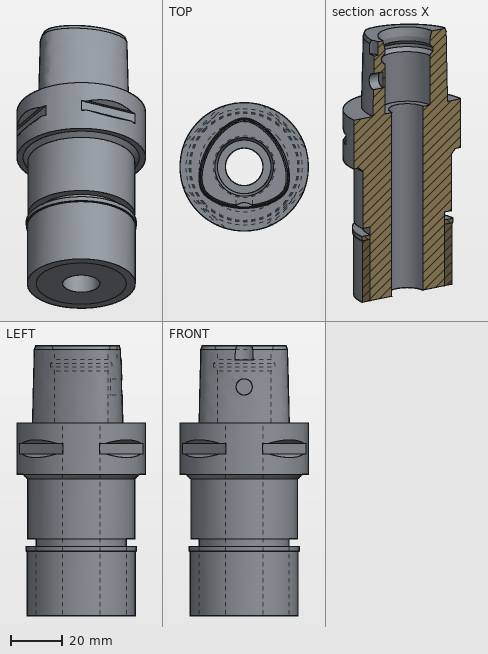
import cadquery as cq
import math

nut_top = 25.0
ring_top = 27.0
barrel_bottom = 30.0
flange_bottom = 55.0
flange_top = 75.0
shank_top = 105.0

flange_radius = 25.0
barrel_radius = 20.8
nose_radius = 17.5
nut_radius = 21.0
ring_radius = 21.4
relief_radius = 22.6
ring_chamfer = 0.3

shank_width = 35.2
shank_lobe = 1.4
shank_taper = 1 / 20
lead_height = 1.5
lead_inset = 0.55

mouth_radius = 11.4
bore_radius = 10.4
mouth_depth = 3.6
groove_start = 5.4
groove_end = 9.8
groove_depth = 1.55
bore_depth = shank_top - flange_top
through_radius = 7.25

slot_count = 4
first_slot_angle = 45
slot_floor = 22.0
slot_ledge = 23.1
slot_height = 4.1
slot_mouth_height = 6.9

notch_radius = 5.0
notch_inner_y = -13.9
notch_depth = 5.5
chip_hole_radius = 3.15
chip_hole_z = 89.0
chip_hole_floor_y = -11.4


def polygon_wire(width, level):
    """Closed outline of the polygon shank, one lobe pointing to +Y."""

    def point(t):
        angle = 2 * math.pi * t - math.pi / 2
        support = width / 2 - shank_lobe * math.sin(3 * angle)
        slope = -3 * shank_lobe * math.cos(3 * angle)
        x = support * math.cos(angle) - slope * math.sin(angle)
        y = support * math.sin(angle) + slope * math.cos(angle)
        return (x, y)

    outline_spans = 72
    points = [cq.Vector(*point(i / outline_spans), level) for i in range(outline_spans)]
    edge = cq.Edge.makeSpline(points, periodic=True)
    return cq.Wire.assembleEdges([edge])


def make_shank():
    lead_bottom = shank_top - lead_height
    upper_width = shank_width - shank_taper * (lead_bottom - flange_top)
    tip_width = upper_width - 2 * lead_inset
    base = polygon_wire(shank_width, flange_top)
    upper = polygon_wire(upper_width, lead_bottom)
    tip = polygon_wire(tip_width, shank_top)
    taper = cq.Solid.makeLoft([base, upper], True)
    lead = cq.Solid.makeLoft([upper, tip], True)
    return cq.Workplane(taper).union(cq.Workplane(lead))


def make_round_sections():
    relief_end = flange_bottom - (relief_radius - barrel_radius)
    profile = [
        (0, 0),
        (nose_radius, 0),
        (nose_radius, barrel_bottom),
        (barrel_radius, barrel_bottom),
        (barrel_radius, relief_end),
        (relief_radius, flange_bottom),
        (flange_radius, flange_bottom),
        (flange_radius, flange_top),
        (0, flange_top),
    ]
    return cq.Workplane("XZ").polyline(profile).close().revolve(360, (0, 0), (0, 1))


def bore_cutter():
    groove_radius = bore_radius + groove_depth
    profile = [
        (0, 0),
        (through_radius, 0),
        (through_radius, shank_top - bore_depth),
        (bore_radius, shank_top - bore_depth),
        (bore_radius, shank_top - groove_end),
        (groove_radius, shank_top - groove_end + groove_depth),
        (groove_radius, shank_top - groove_start - groove_depth),
        (bore_radius, shank_top - groove_start),
        (bore_radius, shank_top - mouth_depth),
        (mouth_radius, shank_top),
        (0, shank_top),
    ]
    return cq.Workplane("XZ").polyline(profile).close().revolve(360, (0, 0), (0, 1))


def slot_cutter(angle):
    """Slot with a flat floor, short straight sides and flared lips, cut straight across."""
    middle = (flange_bottom + flange_top) / 2
    half_floor = slot_height / 2
    half_mouth = slot_mouth_height / 2
    profile = [
        (slot_floor, middle - half_floor),
        (slot_ledge, middle - half_floor),
        (flange_radius, middle - half_mouth),
        (flange_radius, middle + half_mouth),
        (slot_ledge, middle + half_floor),
        (slot_floor, middle + half_floor),
    ]
    cutter = cq.Workplane("XZ").polyline(profile).close().extrude(flange_radius, both=True)
    return cutter.rotate((0, 0, 0), (0, 0, 1), angle)


def notch_cutter():
    center_y = notch_inner_y - notch_radius
    notch = cq.Workplane("XY", origin=(0, center_y, shank_top - notch_depth))
    return notch.circle(notch_radius).extrude(notch_depth)


def chip_hole_cutter():
    hole = cq.Workplane("XZ", origin=(0, chip_hole_floor_y, chip_hole_z))
    return hole.circle(chip_hole_radius).extrude(shank_width / 2)


def make_holder():
    holder = make_round_sections().union(make_shank()).cut(bore_cutter())
    for i in range(slot_count):
        holder = holder.cut(slot_cutter(first_slot_angle + i * 360 / slot_count))
    return holder.cut(notch_cutter()).cut(chip_hole_cutter())


def make_sleeve(radius, bottom, top):
    """Plain sleeve that fits around the nose of the holder."""
    sleeve = cq.Workplane("XY", origin=(0, 0, bottom))
    return sleeve.circle(radius).circle(nose_radius).extrude(top - bottom)


def make_ring():
    ring = make_sleeve(ring_radius, nut_top, ring_top)
    lower_rim = cq.selectors.RadiusNthSelector(-1)
    return ring.faces("<Z").edges(lower_rim).chamfer(ring_chamfer)


holder = make_holder()
ring = make_ring()
nut = make_sleeve(nut_radius, 0, nut_top)

result = cq.Compound.makeCompound([holder.solids().val(), ring.solids().val(), nut.solids().val()])